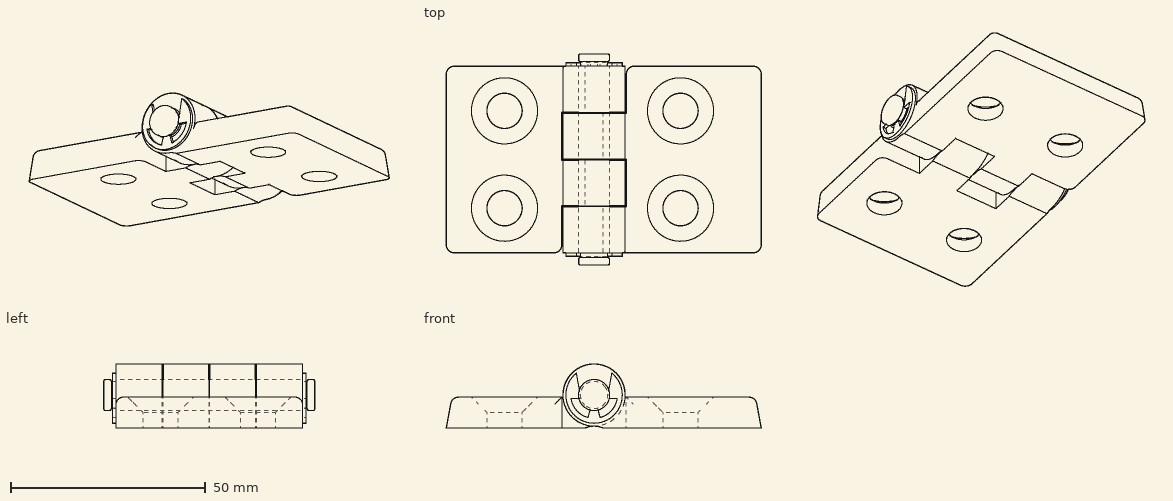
import cadquery as cq
import math


leaf_width = 48.0
leaf_thickness = 8.0
left_leaf_reach = 38.0
right_leaf_reach = 42.97
end_draft = 10.5
edge_radius = 2.1

left_hole_distance = 23.0
right_hole_distance = 22.2
hole_spacing = 25.0
hole_diameter = 9.0
countersink_diameter = 17.0
countersink_angle = 90.0

knuckle_count = 4
knuckle_radius = 8.0
knuckle_ground_gap = 0.5
knuckle_end_gap = 0.25
knuckle_side_gap = 0.25
underside_arch_half_width = 2.3
axis_height = knuckle_radius + knuckle_ground_gap
knuckle_pitch = leaf_width / knuckle_count
leaf_end = leaf_width / 2

pin_length = 54.25
pin_radius = 4.0
pin_edge_radius = 0.5
groove_radius = 3.5
groove_width = 1.15

clip_thickness = 0.9
clip_radius = 7.25
clip_relief_radius = 6.0
clip_relief_drop = 0.9
clip_mouth_angle = 10.0
clip_tab_half_angle = 15.0


def prism_along_y(outline, y_start, y_end):
    """Extrude a closed XZ outline from y_start to y_end."""
    return outline.extrude(y_start - y_end).translate((0, y_start, 0))


def disc_along_y(radius, y_start, y_end):
    """Cylinder on the hinge axis from y_start to y_end."""
    return prism_along_y(cq.Workplane("XZ").center(0, axis_height).circle(radius), y_start, y_end)


def knuckle_span(index):
    """Y range of a knuckle, counted from the -Y end, with half a gap at each inner joint."""
    y_start = -leaf_end + index * knuckle_pitch
    y_end = y_start + knuckle_pitch
    if index > 0:
        y_start += knuckle_end_gap / 2
    if index < knuckle_count - 1:
        y_end -= knuckle_end_gap / 2
    return y_start, y_end


def leaf_plate(reach):
    """Plate from X = -reach to the hinge axis, with a drafted outer end and rounded edges."""
    draft_inset = leaf_thickness * math.tan(math.radians(end_draft))
    outline = (
        cq.Workplane("XZ")
        .moveTo(-reach, 0)
        .lineTo(0, 0)
        .lineTo(0, leaf_thickness)
        .lineTo(-reach + draft_inset, leaf_thickness)
        .close()
    )
    plate = prism_along_y(outline, -leaf_end, leaf_end)
    outer_edges = plate.faces("<X").edges("not <Z").vals()
    side_edges = plate.faces(">Z").edges("|X").vals()
    return plate.newObject(outer_edges + side_edges).fillet(edge_radius)


def knuckle_pocket(y_start, y_end):
    """Space cleared in the plate for a knuckle of the other leaf."""
    pocket_depth = knuckle_radius + knuckle_side_gap
    return cq.Workplane("XY").box(
        pocket_depth, y_end - y_start, leaf_thickness, centered=False
    ).translate((-pocket_depth, y_start, 0))


def corner_rounding():
    """Sliver outside the vertical round where the plate's -Y side meets the first pocket."""
    corner_x = -knuckle_radius - knuckle_side_gap
    block = cq.Workplane("XY").box(edge_radius, edge_radius, leaf_thickness, centered=False)
    round_post = cq.Workplane("XY").center(0, edge_radius).circle(edge_radius).extrude(leaf_thickness)
    return block.cut(round_post).translate((corner_x - edge_radius, -leaf_end, 0))


def underside_arch():
    """Shallow arch that blends the plate underside into the bottom of the knuckles."""
    outline = (
        cq.Workplane("XZ")
        .moveTo(-underside_arch_half_width, 0)
        .threePointArc((0, knuckle_ground_gap), (underside_arch_half_width, 0))
        .close()
    )
    return prism_along_y(outline, -leaf_end, leaf_end)


def make_leaf(reach, hole_distance):
    """Leaf on the -X side carrying the second and fourth knuckles from the -Y end."""
    leaf = leaf_plate(reach)
    for index in range(0, knuckle_count, 2):
        y_start = -leaf_end if index == 0 else knuckle_span(index - 1)[1]
        y_end = knuckle_span(index + 1)[0]
        leaf = leaf.cut(knuckle_pocket(y_start, y_end))
    leaf = leaf.cut(corner_rounding()).cut(underside_arch())
    for index in range(1, knuckle_count, 2):
        leaf = leaf.union(disc_along_y(knuckle_radius, *knuckle_span(index)))
    leaf = leaf.cut(disc_along_y(pin_radius, -leaf_end, leaf_end))
    hole_points = [(-hole_distance, side * hole_spacing / 2) for side in (-1, 1)]
    return (
        leaf.copyWorkplane(cq.Workplane("XY", origin=(0, 0, leaf_thickness)))
        .pushPoints(hole_points)
        .cskHole(hole_diameter, countersink_diameter, countersink_angle)
    )


def make_pin():
    """Round pin with a clip groove just outside each end of the knuckles."""
    groove_end = leaf_end + groove_width
    pin = disc_along_y(groove_radius, -groove_end, groove_end)
    pin = pin.union(disc_along_y(pin_radius, -leaf_end, leaf_end))
    for y_start, y_end in ((-pin_length / 2, -groove_end), (groove_end, pin_length / 2)):
        head = disc_along_y(pin_radius, y_start, y_end).edges().fillet(pin_edge_radius)
        pin = pin.union(head)
    return pin


def clip_mouth(y_start, y_end):
    """Upward opening whose flared sides are tangent to the clip bore."""
    flare = math.radians(clip_mouth_angle)
    tangent_x = groove_radius * math.cos(flare)
    tangent_z = -groove_radius * math.sin(flare)
    mouth_top_x = tangent_x + (clip_radius - tangent_z) * math.tan(flare)
    outline = (
        cq.Workplane("XZ")
        .center(0, axis_height)
        .polyline([
            (-tangent_x, tangent_z),
            (tangent_x, tangent_z),
            (mouth_top_x, clip_radius),
            (-mouth_top_x, clip_radius),
        ])
        .close()
    )
    return prism_along_y(outline, y_start, y_end)


def clip_relief(side, y_start, y_end):
    """Relief between the lower tab and one upper jaw; side is -1 or 1."""
    tab = math.radians(clip_tab_half_angle)
    jaw_angle = math.asin(clip_relief_drop / clip_relief_radius)
    middle_angle = (jaw_angle + math.pi / 2 - tab) / 2
    jaw_x = clip_relief_radius * math.cos(jaw_angle)
    outline = (
        cq.Workplane("XZ")
        .center(0, axis_height)
        .moveTo(side * jaw_x, -clip_relief_drop)
        .threePointArc(
            (
                side * clip_relief_radius * math.cos(middle_angle),
                -clip_relief_radius * math.sin(middle_angle),
            ),
            (side * clip_relief_radius * math.sin(tab), -clip_relief_radius * math.cos(tab)),
        )
        .lineTo(side * clip_relief_drop * math.tan(tab), -clip_relief_drop)
        .close()
    )
    return prism_along_y(outline, y_start, y_end)


def make_clip(y_start):
    """Retaining clip seated in a pin groove, from y_start to one thickness further along Y."""
    span = (y_start, y_start + clip_thickness)
    clip = disc_along_y(clip_radius, *span).cut(disc_along_y(groove_radius, *span))
    clip = clip.cut(clip_mouth(*span))
    for side in (-1, 1):
        clip = clip.cut(clip_relief(side, *span))
    return clip


left_leaf = make_leaf(left_leaf_reach, left_hole_distance)
right_leaf = make_leaf(right_leaf_reach, right_hole_distance).rotate((0, 0, 0), (0, 0, 1), 180)
pin = make_pin()
clips = [make_clip(y_start) for y_start in (-leaf_end - clip_thickness, leaf_end)]

result = cq.Compound.makeCompound(
    [left_leaf.val(), right_leaf.val(), pin.val(), *[clip.val() for clip in clips]]
)